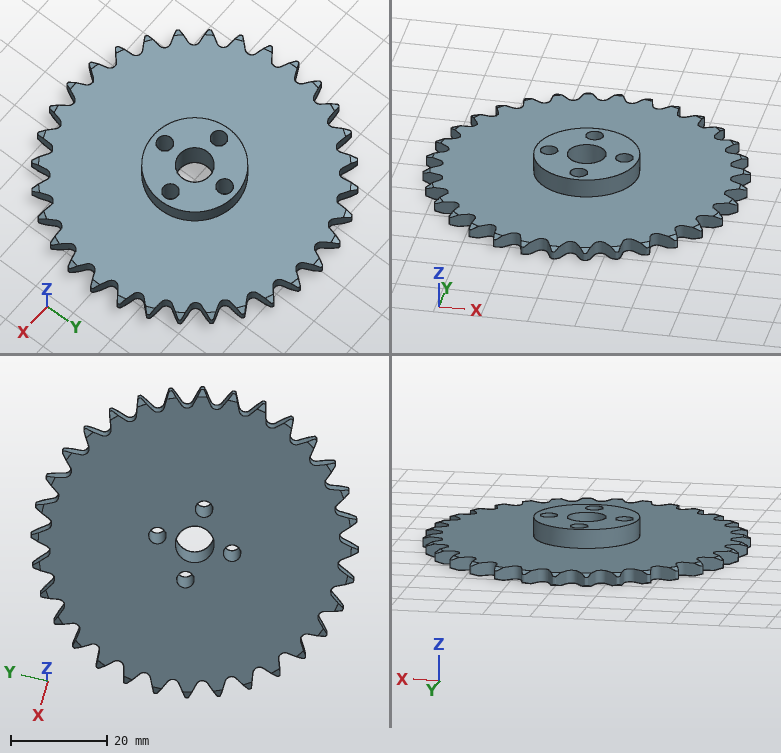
import cadquery as cq
import math

tooth_count = 32
outer_radius = 34.0
plate_thickness = 2.8

root_radius = 30.05
gap_round_radius = 1.35
flank_angle = 25.0

tip_corner_radius = 0.3
tip_bevel_length = 1.5
tip_bevel_height = 0.55

overall_height = 6.8
hub_diameter = 22.0
bore_diameter = 8.0

bolt_hole_count = 4
bolt_hole_diameter = 3.6
bolt_circle_diameter = 16.0


def tooth_gap():
    """Cutter for the gap centred on the +X axis, open beyond the outer radius."""
    wall_angle = math.radians(flank_angle + 180 / tooth_count)
    round_centre = root_radius + gap_round_radius
    tangent_x = round_centre - gap_round_radius * math.sin(wall_angle)
    tangent_y = gap_round_radius * math.cos(wall_angle)
    mouth_x = outer_radius + gap_round_radius
    mouth_y = tangent_y + (mouth_x - tangent_x) * math.tan(wall_angle)
    return (
        cq.Workplane("XY")
        .moveTo(mouth_x, -mouth_y)
        .lineTo(tangent_x, -tangent_y)
        .threePointArc((root_radius, 0), (tangent_x, tangent_y))
        .lineTo(mouth_x, mouth_y)
        .close()
        .extrude(plate_thickness)
    )


def beveled_disc():
    """Plate blank whose rim slopes in towards both faces."""
    face_radius = outer_radius - tip_bevel_length
    return (
        cq.Workplane("XZ")
        .moveTo(0, 0)
        .lineTo(face_radius, 0)
        .lineTo(outer_radius, tip_bevel_height)
        .lineTo(outer_radius, plate_thickness - tip_bevel_height)
        .lineTo(face_radius, plate_thickness)
        .lineTo(0, plate_thickness)
        .close()
        .revolve(360, (0, 0, 0), (0, 1, 0))
    )


def lies_on_rim(edge):
    """Tell whether an upright edge is at the outer radius."""
    centre = edge.Center()
    return math.isclose(math.hypot(centre.x, centre.y), outer_radius, rel_tol=1e-6)


def toothed_plate():
    """Plate with sloped, rounded teeth, one centred on each of the X and Y axes."""
    teeth = cq.Workplane("XY").circle(outer_radius).extrude(plate_thickness)
    gap = tooth_gap()
    tooth_pitch = 360 / tooth_count
    for index in range(tooth_count):
        gap_angle = (index + 0.5) * tooth_pitch
        teeth = teeth.cut(gap.rotate((0, 0, 0), (0, 0, 1), gap_angle))
    tip_corners = teeth.edges("|Z").filter(lies_on_rim)
    return tip_corners.fillet(tip_corner_radius).intersect(beveled_disc())


hub = cq.Workplane("XY").circle(hub_diameter / 2).extrude(overall_height)
bore = cq.Workplane("XY").circle(bore_diameter / 2).extrude(overall_height)
bolt_holes = (
    cq.Workplane("XY")
    .polarArray(bolt_circle_diameter / 2, 0, 360, bolt_hole_count)
    .circle(bolt_hole_diameter / 2)
    .extrude(overall_height)
)

result = toothed_plate().union(hub).cut(bore).cut(bolt_holes)